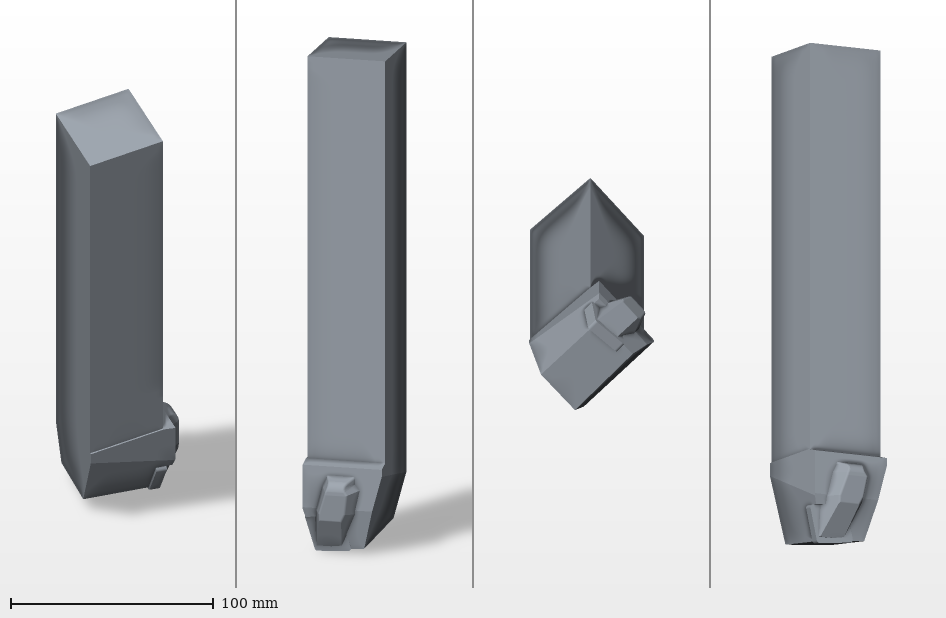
import cadquery as cq
import math


total_height = 251.4
shank_side = 39.7
head_width = 40.5
head_depth = 46.2
head_top = 46.8
step_drop = 1.8
back_bend = 23.5
back_lean = 13.0

left_start = 32.7
left_slope = math.tan(math.radians(15.3))
left_rise = 0.19
right_start = 40.2
right_slope = math.tan(math.radians(14.5))
right_drop = 0.39
end_height = 9.3
end_slope = math.tan(math.radians(5))
end_drop = 0.13

insert_side = 19.4
insert_thickness = 5.5
insert_angle = 100.0
insert_edge_angle = 75.0
insert_nose = 1.5
insert_corner = (35.7, 39.7, -0.1)
insert_normal = (0.1, 1.0, -0.13)

clamp_depth = 54.8
clamp_draft = 25.0
clamp_outline = [
    (13.5, 46.5), (28.5, 46.5), (28.5, 39.0), (30.5, 35.2), (33.7, 22.5),
    (32.2, 2.3), (25.1, 2.3), (14.0, 21.4), (11.3, 33.7), (13.5, 36.7),
]
clamp_back = [(head_depth, 40.5), (51.3, 38.7)]
clamp_shoulder = (53.8, 36.7)
clamp_crest = (clamp_depth, 32.5)
clamp_nose = [(52.8, 18.9), (41.0, 3.0)]
clamp_rounding = 1.3
crest_depth = 50.8
clamp_root = 40.0

big = 150.8


def half_space(point, normal):
    """Large box that fills the side of a plane its normal points to."""
    return cq.Workplane(cq.Plane(origin=point, normal=normal)).rect(big, big).extrude(big)


def make_head():
    """Stepped block with a leaning back face, cut by the two flanks and the end face."""
    lean_shift = back_bend * math.tan(math.radians(back_lean))
    profile = [
        (0, 0), (0, head_top), (shank_side, head_top), (head_depth, head_top - step_drop),
        (head_depth, back_bend), (head_depth - lean_shift, 0),
    ]
    head = cq.Workplane("YZ").polyline(profile).close().extrude(head_width)
    left_flank = half_space((0, 0, left_start), (-1, left_slope * left_rise, -left_slope))
    right_flank = half_space((head_width, 0, right_start), (1, -right_slope * right_drop, -right_slope))
    end_face = half_space((0, 0, end_height), (-end_slope, -end_drop, -1))
    return head.cut(left_flank).cut(right_flank).cut(end_face)


def make_insert(above=0.0):
    """Rhombic insert; `above` extends it past its top face to open the pocket."""
    plane = cq.Plane(origin=insert_corner, xDir=(1, -insert_normal[0], 0), normal=insert_normal)
    first_edge = math.radians(-insert_edge_angle)
    second_edge = math.radians(-insert_edge_angle - insert_angle)
    first_side = cq.Vector(insert_side * math.cos(first_edge), insert_side * math.sin(first_edge))
    second_side = cq.Vector(insert_side * math.cos(second_edge), insert_side * math.sin(second_edge))
    rhombus = [(v.x, v.y) for v in (cq.Vector(), first_side, first_side + second_side, second_side)]
    blank = (
        cq.Workplane(plane).workplane(offset=-insert_thickness)
        .polyline(rhombus).close().extrude(insert_thickness + above)
    )
    return blank.edges(cq.selectors.ParallelDirSelector(cq.Vector(*insert_normal))).fillet(insert_nose)


def make_clamp():
    """Drafted finger whose crest and nose follow the side profile."""
    at_head = cq.Plane(origin=(0, head_depth, 0), xDir=(1, 0, 0), normal=(0, 1, 0))
    outline = [(x, -z) for x, z in clamp_outline]
    base = cq.Sketch().polygon(outline + outline[:1])
    upper = cq.Workplane(at_head).placeSketch(base).extrude(clamp_depth - head_depth, taper=clamp_draft)
    lower = cq.Workplane(at_head).placeSketch(base).extrude(clamp_root - head_depth, taper=-clamp_draft)
    envelope = (
        cq.Workplane("YZ").moveTo(clamp_root, clamp_back[0][1])
        .lineTo(*clamp_back[0]).lineTo(*clamp_back[1])
        .threePointArc(clamp_shoulder, clamp_crest)
        .lineTo(*clamp_nose[0]).lineTo(*clamp_nose[1])
        .lineTo(clamp_root, clamp_nose[1][1])
        .close().extrude(head_width)
    )
    clamp = upper.union(lower).intersect(envelope)
    crest_zone = cq.selectors.BoxSelector((0, crest_depth, 0), (head_width, big, head_top))
    return clamp.edges(crest_zone).fillet(clamp_rounding)


def make_holder(insert):
    """Shank, head and clamp in one solid, with a pocket that fits the insert."""
    shank = cq.Workplane("XY").workplane(offset=head_top).rect(shank_side, shank_side, centered=False)
    shank = shank.extrude(total_height - head_top)
    body = shank.union(make_head()).cut(make_insert(above=big))
    return body.union(make_clamp()).cut(insert)


insert = make_insert()
holder = make_holder(insert)

result = cq.Compound.makeCompound([holder.solids().val(), insert.val()])